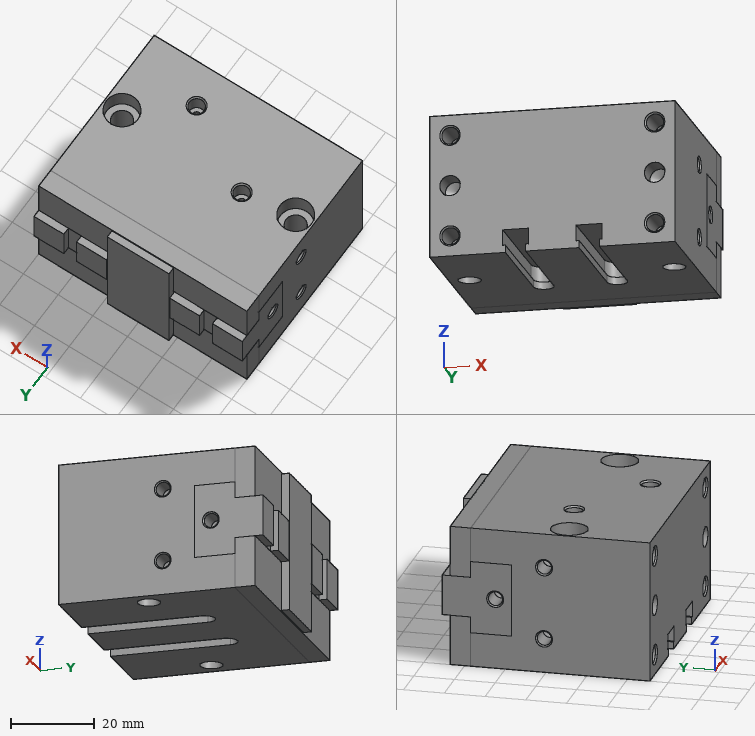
import cadquery as cq
import math

LENGTH = 60.0
HEIGHT = 35.0
BASE_DEPTH = 44.0
COVER_THICKNESS = 5.05
PAD_THICKNESS = 2.0
BODY_DEPTH = BASE_DEPTH + COVER_THICKNESS
TOTAL_DEPTH = BODY_DEPTH + PAD_THICKNESS

PAD_LENGTH = 17.75
PAD_EDGE_MARGIN = 0.35

HEAD_HEIGHT = 18.0
HEAD_DEPTH = 10.0
NECK_HEIGHT = 10.0
JAW_CLEARANCE = 0.25
JAW_LENGTH = (LENGTH - PAD_LENGTH) / 2 - JAW_CLEARANCE
NOTCH_WIDTH = 3.7
HEAD_BOTTOM_Y = BASE_DEPTH - HEAD_DEPTH

DRILL_POINT_ANGLE = 118.0
EDGE_INSET = 5.0
LARGE_THREAD_MOUTH = 5.0
LARGE_THREAD_BORE = 4.2
SMALL_THREAD_MOUTH = 4.15
SMALL_THREAD_BORE = 3.5

FRONT_HOLE_X = LENGTH / 2 - EDGE_INSET
FRONT_HOLE_SPACING = 12.5
FRONT_HOLE_DEPTH = 10.0
DOWEL_BORE = 5.0
DOWEL_DEPTH = 6.0

SIDE_HOLE_Y = 26.0
SIDE_HOLE_Z = 9.0
SIDE_HOLE_DEPTH = 6.0

JAW_HOLE_Y = 38.0
JAW_HOLE_DEPTH = 6.0

MOUNT_Y = 21.0
MOUNT_BORE = 5.5
MOUNT_COUNTERBORE = 9.0
MOUNT_COUNTERBORE_DEPTH = 5.4

PORT_POSITIONS = [(-11.0, 23.3), (11.0, 10.0)]
PORT_DEPTH = 5.0
PORT_PASSAGE = 2.0
PORT_PASSAGE_DEPTH = 5.0

SENSOR_SLOT_X = 9.0
SENSOR_SLOT_RUN = 30.0
SENSOR_SLOT_DEPTH = 5.65
SENSOR_SLOT_WIDTH = 6.3
SENSOR_MOUTH_DEPTH = 1.8
SENSOR_MOUTH_WIDTH = 5.0


def block(x_range, y_range, z_range):
    """Box spanning the given (low, high) ranges."""
    ranges = (x_range, y_range, z_range)
    size = [high - low for low, high in ranges]
    corner = [low for low, _ in ranges]
    return cq.Workplane("XY").box(*size, centered=False).translate(tuple(corner))


def centred(width):
    """(low, high) range of a width centred on zero."""
    return (-width / 2, width / 2)


def revolved_cutter(outline, origin, direction):
    """Revolve an outline of (radius, depth) points about an axis running into the part."""
    axis = cq.Vector(*direction)
    radial = cq.Vector(axis.y, axis.z, axis.x)
    profile_plane = cq.Plane(origin=origin, xDir=radial, normal=radial.cross(axis))
    return cq.Workplane(profile_plane).polyline(outline).close().revolve(360, (0, 0, 0), (0, 1, 0))


def drilled_hole(origin, direction, bore, depth, mouth=None):
    """Blind hole with a drill point, and a 45 degree countersink when a mouth diameter is given."""
    point_depth = bore / 2 / math.tan(math.radians(DRILL_POINT_ANGLE / 2))
    if mouth is None:
        opening = [(bore / 2, 0)]
    else:
        opening = [(mouth / 2, 0), (bore / 2, (mouth - bore) / 2)]
    outline = [(0, 0), *opening, (bore / 2, depth), (0, depth + point_depth)]
    return revolved_cutter(outline, origin, direction)


def t_section(x_range):
    """T-shaped bar along X: wide head below the cover, narrow neck out to the jaw face."""
    head = block(x_range, (HEAD_BOTTOM_Y, BASE_DEPTH), centred(HEAD_HEIGHT))
    neck = block(x_range, (HEAD_BOTTOM_Y, TOTAL_DEPTH), centred(NECK_HEIGHT))
    return head.union(neck)


def front_holes():
    """Three holes down each side of the front face: two threads and a plain dowel hole between them."""
    cutters = []
    for x in (-FRONT_HOLE_X, FRONT_HOLE_X):
        cutters.append(drilled_hole((x, 0, 0), (0, 1, 0), DOWEL_BORE, DOWEL_DEPTH))
        for z in (-FRONT_HOLE_SPACING, FRONT_HOLE_SPACING):
            cutters.append(
                drilled_hole((x, 0, z), (0, 1, 0), LARGE_THREAD_BORE, FRONT_HOLE_DEPTH, LARGE_THREAD_MOUTH)
            )
    return cutters


def side_holes():
    """Two threaded holes in each end face."""
    cutters = []
    for side in (-1, 1):
        for z in (-SIDE_HOLE_Z, SIDE_HOLE_Z):
            origin = (side * LENGTH / 2, SIDE_HOLE_Y, z)
            cutters.append(
                drilled_hole(origin, (-side, 0, 0), SMALL_THREAD_BORE, SIDE_HOLE_DEPTH, SMALL_THREAD_MOUTH)
            )
    return cutters


def mounting_holes():
    """Through holes along Z, counterbored from the top face."""
    outline = [
        (0, 0),
        (MOUNT_COUNTERBORE / 2, 0),
        (MOUNT_COUNTERBORE / 2, MOUNT_COUNTERBORE_DEPTH),
        (MOUNT_BORE / 2, MOUNT_COUNTERBORE_DEPTH),
        (MOUNT_BORE / 2, HEIGHT),
        (0, HEIGHT),
    ]
    return [
        revolved_cutter(outline, (x, MOUNT_Y, HEIGHT / 2), (0, 0, -1))
        for x in (-FRONT_HOLE_X, FRONT_HOLE_X)
    ]


def air_ports():
    """Countersunk, flat-bottomed ports in the top face, each with a narrow passage below."""
    countersink_depth = (LARGE_THREAD_MOUTH - LARGE_THREAD_BORE) / 2
    passage_end = PORT_DEPTH + PORT_PASSAGE_DEPTH
    outline = [
        (0, 0),
        (LARGE_THREAD_MOUTH / 2, 0),
        (LARGE_THREAD_BORE / 2, countersink_depth),
        (LARGE_THREAD_BORE / 2, PORT_DEPTH),
        (PORT_PASSAGE / 2, PORT_DEPTH),
        (PORT_PASSAGE / 2, passage_end),
        (0, passage_end),
    ]
    return [revolved_cutter(outline, (x, y, HEIGHT / 2), (0, 0, -1)) for x, y in PORT_POSITIONS]


def round_ended_slot(x, bottom_z, width, height):
    """Horizontal slot running back from the front face to a rounded far end."""
    return (
        cq.Workplane("XY", origin=(x, 0, bottom_z))
        .moveTo(-width / 2, 0)
        .lineTo(width / 2, 0)
        .lineTo(width / 2, SENSOR_SLOT_RUN)
        .threePointArc((0, SENSOR_SLOT_RUN + width / 2), (-width / 2, SENSOR_SLOT_RUN))
        .close()
        .extrude(height)
    )


def sensor_slots():
    """Two undercut slots: a narrow mouth, with a wider channel above it."""
    channel_height = SENSOR_SLOT_DEPTH - SENSOR_MOUTH_DEPTH
    channel_bottom = -HEIGHT / 2 + SENSOR_MOUTH_DEPTH
    cutters = []
    for x in (-SENSOR_SLOT_X, SENSOR_SLOT_X):
        mouth = round_ended_slot(x, -HEIGHT / 2, SENSOR_MOUTH_WIDTH, SENSOR_MOUTH_DEPTH)
        channel = round_ended_slot(x, channel_bottom, SENSOR_SLOT_WIDTH, channel_height)
        cutters.append(mouth.union(channel))
    return cutters


def make_housing():
    """Base and cover in one piece, with the T guide through it and the pad bridging the guide."""
    base = block(centred(LENGTH), (0, BASE_DEPTH), centred(HEIGHT))
    cover = block(centred(LENGTH), (BASE_DEPTH, BODY_DEPTH), centred(HEIGHT))
    pad = block(
        centred(PAD_LENGTH), (BODY_DEPTH, TOTAL_DEPTH), centred(HEIGHT - 2 * PAD_EDGE_MARGIN)
    )
    housing = base.union(cover, clean=False).cut(t_section(centred(LENGTH)), clean=False)
    housing = housing.union(pad, clean=False)
    for cutter in front_holes() + side_holes() + mounting_holes() + air_ports() + sensor_slots():
        housing = housing.cut(cutter, clean=False)
    return housing


def make_jaw(side):
    """T-shaped jaw flush with one end face (side -1 or +1), notched across its face."""
    outer_x = side * LENGTH / 2
    inner_x = side * (LENGTH / 2 - JAW_LENGTH)
    notch_x = (outer_x + inner_x) / 2
    jaw = t_section((min(outer_x, inner_x), max(outer_x, inner_x)))
    notch = block(
        (notch_x - NOTCH_WIDTH / 2, notch_x + NOTCH_WIDTH / 2),
        (BODY_DEPTH, TOTAL_DEPTH),
        centred(NECK_HEIGHT),
    )
    hole = drilled_hole(
        (outer_x, JAW_HOLE_Y, 0), (-side, 0, 0), SMALL_THREAD_BORE, JAW_HOLE_DEPTH, SMALL_THREAD_MOUTH
    )
    return jaw.cut(notch).cut(hole)


housing = make_housing()
jaws = [make_jaw(side) for side in (-1, 1)]

result = cq.Compound.makeCompound([housing.solids().val(), *[jaw.solids().val() for jaw in jaws]])